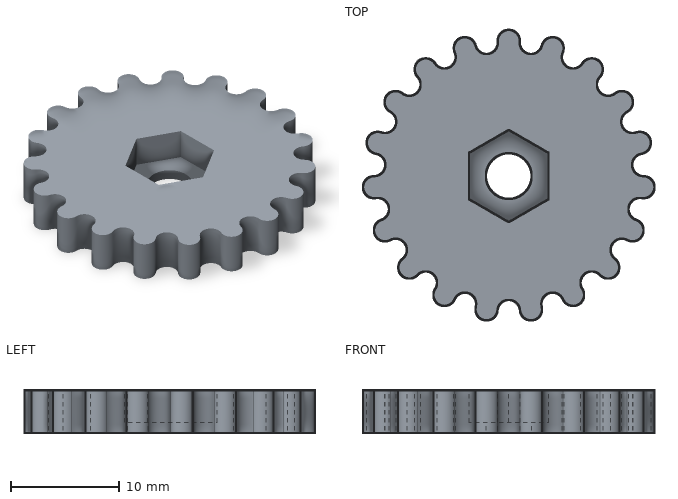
import cadquery as cq
import math

overall_width = 26.98
thickness = 4.0
tooth_count = 19
bore_diameter = 4.2
hex_across_flats = 7.4
hex_depth = 3.0

quarter_pitch = math.pi / (2 * tooth_count)
pitch_radius = overall_width / 2 / (math.cos(quarter_pitch) + math.sin(quarter_pitch))
arc_radius = pitch_radius * math.sin(quarter_pitch)
tip_radius = pitch_radius + arc_radius
root_radius = pitch_radius - arc_radius
joint_radius = pitch_radius * math.cos(quarter_pitch)


def polar(radius, angle):
    """Point at a radius and an angle measured from +X."""
    return (radius * math.cos(angle), radius * math.sin(angle))


def toothed_disc():
    """Disc whose rim alternates round teeth and round gaps, with one tooth on +Y."""
    first_tooth = math.pi / 2
    outline = cq.Workplane("XY").moveTo(*polar(joint_radius, first_tooth - quarter_pitch))
    for index in range(tooth_count):
        tooth = first_tooth + index * 4 * quarter_pitch
        gap = tooth + 2 * quarter_pitch
        outline = outline.threePointArc(polar(tip_radius, tooth), polar(joint_radius, tooth + quarter_pitch))
        outline = outline.threePointArc(polar(root_radius, gap), polar(joint_radius, gap + quarter_pitch))
    return outline.close().extrude(thickness)


def hex_pocket():
    """Hexagonal nut pocket open at the top, with corners on the Y axis."""
    across_corners = hex_across_flats / math.cos(math.pi / 6)
    return (
        cq.Workplane("XY", origin=(0, 0, thickness - hex_depth))
        .transformed(rotate=(0, 0, 90))
        .polygon(6, across_corners)
        .extrude(hex_depth)
    )


def bore():
    """Round hole through the full thickness."""
    return cq.Workplane("XY").circle(bore_diameter / 2).extrude(thickness)


result = toothed_disc().cut(hex_pocket()).cut(bore())